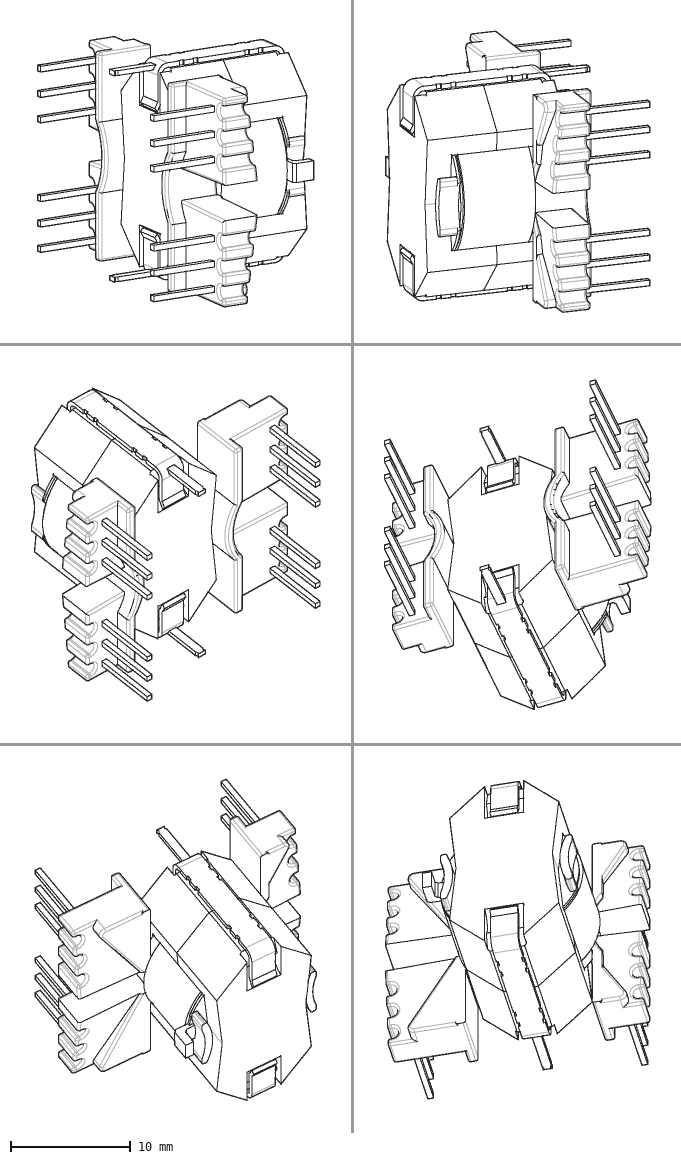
import cadquery as cq
import math


core_depth = 6.25
window_depth = 4.03
core_top = 8.98
core_top_half_width = 1.5
core_shoulder_half_width = 4.7
core_shoulder_z = 5.8
core_waist_half_width = 4.15
core_bore_radius = 6.17
post_radius = 3.15

recess_half_width = 1.67
recess_bottom_z = 5.2
recess_top_y = 5.1
groove_top = (5.64, 7.38)
groove_middle = (5.25, 6.2)

clip_half_width = 1.17
clip_thickness = 0.42
clip_top = core_top + clip_thickness
clip_leg_y = 6.19
clip_bend_radius = 0.95
clip_kink_z = 6.12
clip_hook = (6.47, 5.6)
clip_hook_end = (6.23, 5.28)
clip_hook_inner = (6.08, 5.57)
edge_notch_depth = 0.15
edge_notch_length = 0.45
edge_notch_places = (3.88, 2.55, -2.49, -3.83)
clip_pin_half_width = 0.4
clip_pin_z = 8.95
clip_pin_start = -5.73
clip_pin_end = -9.95
clip_pin_notch_length = 0.35
clip_pin_notch_depth = 0.1

winding_radius = 6.12
winding_front = -2.9
winding_back = 3.48
barrel_radius = 3.68
flange_radius = 6.12
back_flange_step_radius = 5.84
front_flange_front = -3.9
back_flange_back = 3.95
back_flange_step_y = 3.7

collar_thickness = 0.73
collar_outer_x = 5.65
collar_half_height = 2.53
collar_arc_half_height = 1.85
collar_back = 5.48

tab_half_width = 0.825
tab_root_x = 4.85
tab_outer_x = 7.22
tab_post_inner_x = 6.43
tab_back = 5.42
tab_chamfer = 0.22

wall_inner_x = 5.44
wall_outer_x = 6.3
wall_top = 9.05
wall_front = -7.86
wall_arc_half_height = 3.08
wall_arc_rise = 1.0
wall_thickness = wall_outer_x - wall_inner_x
wall_arc_radius = (wall_arc_half_height**2 + wall_arc_rise**2) / (2 * wall_arc_rise)
edge_round = 0.22

left_block_end = 9.62
right_block_end = 12.4
block_front = -6.5
block_inner_z_at_wall = 1.35
block_inner_z_at_end = 1.52
guide_round = 0.55
guide_angle = 30
ledge_low_z_y = -3.1
left_guide_corner_x = 8.76
left_ledge_high_z_y = -3.92
right_guide_corner_x = 10.81
right_ledge_high_z_y = -4.12
slot_radius = 0.55
slot_centre_inset = 0.37

pins_per_block = 3
pin_pitch = 2.2
first_pin_z = 3.41
pin_places = [first_pin_z + pin_pitch * i for i in range(pins_per_block)]
pin_width = 0.5
pin_end_y = -12.4
left_pin_x = 7.77
right_pin_x = 10.61


def plane_at(y_back):
    """X-Z sketch plane whose extrusions run toward -Y from y_back."""
    return cq.Workplane("XZ", origin=(0, y_back, 0))


def box(x, y, z):
    """Box between pairs of limits."""
    return cq.Workplane("XY").box(
        x[1] - x[0], y[1] - y[0], z[1] - z[0], centered=False
    ).translate((x[0], y[0], z[0]))


def cylinder(radius, y_front, y_back):
    return plane_at(y_back).circle(radius).extrude(y_back - y_front)


def both_ends(upper):
    """Join an upper feature with its mirror image below the winding axis."""
    return upper.union(upper.mirror("XY"))


def round_edge_near(body, point, radius):
    """Round the edge whose middle is nearest to the point."""
    return body.edges(cq.selectors.NearestToPointSelector(point)).fillet(radius)


def clip_recess():
    """Ramp and snap groove at the upper end of the +Y core half."""
    return (
        cq.Workplane("YZ", origin=(-recess_half_width, 0, 0))
        .moveTo(core_depth, recess_bottom_z)
        .threePointArc(groove_middle, groove_top)
        .lineTo(recess_top_y, core_top)
        .lineTo(core_depth, core_top)
        .close()
        .extrude(2 * recess_half_width)
    )


def core_half():
    """The +Y half: plate, two side legs and the centre post."""
    quarter = [
        (core_waist_half_width, 0),
        (core_shoulder_half_width, core_shoulder_z),
        (core_top_half_width, core_top),
    ]
    right = [(x, -z) for x, z in reversed(quarter[1:])] + quarter
    left = [(-x, -z) for x, z in right]
    body = plane_at(core_depth).polyline(right + left).close().extrude(core_depth)
    body = body.cut(cylinder(core_bore_radius, 0, window_depth))
    body = body.union(cylinder(post_radius, 0, core_depth))
    return body.cut(clip_recess()).cut(clip_recess().mirror("XY"))


def clip_strap():
    bend_y = clip_leg_y - clip_bend_radius
    bend_z = clip_top - clip_bend_radius
    inner_radius = clip_bend_radius - clip_thickness
    inner_y = clip_leg_y - clip_thickness
    diagonal = math.sqrt(0.5)
    outer_mid = (bend_y + clip_bend_radius * diagonal, bend_z + clip_bend_radius * diagonal)
    inner_mid = (bend_y + inner_radius * diagonal, bend_z + inner_radius * diagonal)
    half = (
        cq.Workplane("YZ", origin=(-clip_half_width, 0, 0))
        .moveTo(0, clip_top)
        .lineTo(bend_y, clip_top)
        .threePointArc(outer_mid, (clip_leg_y, bend_z))
        .lineTo(clip_leg_y, clip_kink_z)
        .lineTo(*clip_hook)
        .lineTo(*clip_hook_end)
        .lineTo(*clip_hook_inner)
        .lineTo(inner_y, clip_kink_z)
        .lineTo(inner_y, bend_z)
        .threePointArc(inner_mid, (bend_y, core_top))
        .lineTo(0, core_top)
        .close()
        .extrude(2 * clip_half_width)
    )
    return half.union(half.mirror("XZ"))


def clip_pin():
    """Grounding pin with a V notch on both sides near its tip."""
    notch_top = clip_pin_end + clip_pin_notch_length
    notch_middle = clip_pin_end + clip_pin_notch_length / 2
    side = [
        (clip_pin_half_width, clip_pin_start),
        (clip_pin_half_width, notch_top),
        (clip_pin_half_width - clip_pin_notch_depth, notch_middle),
        (clip_pin_half_width, clip_pin_end),
    ]
    other_side = [(-x, y) for x, y in reversed(side)]
    return (
        cq.Workplane("XY", origin=(0, 0, clip_pin_z - clip_thickness / 2))
        .polyline(side + other_side)
        .close()
        .extrude(clip_thickness)
    )


def clip():
    """The clip over the upper end of the core."""
    notches = (
        cq.Workplane("XY", origin=(0, 0, core_top))
        .pushPoints([(s * clip_half_width, y) for s in (-1, 1) for y in edge_notch_places])
        .rect(2 * edge_notch_depth, edge_notch_length)
        .extrude(clip_thickness)
    )
    return clip_strap().cut(notches).union(clip_pin())


def winding():
    return cylinder(winding_radius, winding_front, winding_back).cut(
        cylinder(barrel_radius, winding_front, winding_back)
    )


def guard_wall():
    """The +X wall: straight ends joined by an arc that bows toward the axis."""
    h = wall_arc_half_height
    wall = (
        plane_at(winding_front)
        .moveTo(wall_inner_x, wall_top)
        .lineTo(wall_inner_x, h)
        .threePointArc((wall_inner_x - wall_arc_rise, 0), (wall_inner_x, -h))
        .lineTo(wall_inner_x, -wall_top)
        .lineTo(wall_outer_x, -wall_top)
        .lineTo(wall_outer_x, -h)
        .threePointArc((wall_outer_x - wall_arc_rise, 0), (wall_outer_x, h))
        .lineTo(wall_outer_x, wall_top)
        .close()
        .extrude(winding_front - wall_front)
    )
    wall = wall.edges("|Y").edges(">Z or <Z").fillet(edge_round)
    outer_arc_edge = (wall_outer_x - wall_arc_rise, winding_front, 0)
    wall = round_edge_near(wall, outer_arc_edge, edge_round)
    return wall.faces("<Y").edges().fillet(edge_round)


def wire_ledge(end_x, guide_corner_x, ledge_high_z_y):
    """Space above the sloped ledge, bounded toward the axis by a slanted guide face."""
    guide_foot_x = guide_corner_x - wall_top * math.tan(math.radians(guide_angle))
    outline = (
        plane_at(winding_front)
        .polyline([
            (guide_corner_x, wall_top),
            (end_x, wall_top),
            (end_x, 0),
            (guide_foot_x, 0),
        ])
        .close()
        .extrude(winding_front - block_front)
    )
    slope = (
        cq.Workplane("YZ", origin=(guide_foot_x, 0, 0))
        .polyline([
            (winding_front, 0),
            (ledge_low_z_y, block_inner_z_at_wall),
            (ledge_high_z_y, wall_top),
            (winding_front, wall_top),
        ])
        .close()
        .extrude(end_x - guide_foot_x)
    )
    return outline.intersect(slope)


def block_blank(end_x):
    """Block outline with a slightly sloped inner end, reaching halfway into the guard wall."""
    start_x = wall_inner_x + wall_thickness / 2
    return (
        plane_at(winding_front)
        .polyline([
            (start_x, wall_top),
            (end_x, wall_top),
            (end_x, block_inner_z_at_end),
            (wall_inner_x, block_inner_z_at_wall),
            (wall_inner_x, wall_arc_half_height),
            (start_x, wall_arc_half_height),
        ])
        .close()
        .extrude(winding_front - block_front)
    )


def wire_slots(end_x):
    return (
        plane_at(winding_front)
        .pushPoints([(end_x, z) for z in pin_places])
        .slot2D(2 * (slot_centre_inset + slot_radius), 2 * slot_radius)
        .extrude(winding_front - block_front)
    )


def terminal_block(end_x, guide_corner_x, ledge_high_z_y):
    """One upper block on the +X side, with a sloped ledge and three wire slots at its end."""
    block = block_blank(end_x).cut(wire_ledge(end_x, guide_corner_x, ledge_high_z_y))

    guide_corner = (guide_corner_x, (ledge_high_z_y + winding_front) / 2, wall_top)
    ledge_top_edge = ((guide_corner_x + end_x) / 2, ledge_high_z_y, wall_top)
    ledge_end_edge = (
        end_x,
        (ledge_low_z_y + ledge_high_z_y) / 2,
        (block_inner_z_at_end + wall_top) / 2,
    )
    block = round_edge_near(block, guide_corner, guide_round)
    block = block.edges(">Y and >Z").fillet(edge_round)
    block = round_edge_near(block, ledge_top_edge, edge_round)
    block = round_edge_near(block, ledge_end_edge, edge_round)

    block = block.cut(wire_slots(end_x))
    lip_margin = slot_radius + edge_round
    lip_edges = cq.selectors.BoxSelector(
        (end_x - edge_round, block_front, pin_places[0] - lip_margin),
        (end_x + edge_round, winding_front, pin_places[-1] + lip_margin),
    )
    front_edges = cq.selectors.BoxSelector(
        (wall_outer_x, block_front - edge_round, 0),
        (end_x + edge_round, block_front + edge_round, wall_top + edge_round),
    )
    block = block.edges("|Y").edges(lip_edges).fillet(edge_round)
    return block.faces("<Y").edges(front_edges).fillet(edge_round)


def side_group(end_x, guide_corner_x, ledge_high_z_y, pin_x):
    """Wall, blocks and pins of one side, built on the +X side."""
    block = terminal_block(end_x, guide_corner_x, ledge_high_z_y)
    pins = (
        plane_at(block_front + edge_round)
        .pushPoints([(pin_x, z) for z in pin_places])
        .rect(pin_width, pin_width)
        .extrude(block_front + edge_round - pin_end_y)
    )
    return guard_wall().union(both_ends(block.union(pins)))


def wall_channel(y_front, y_back):
    """Round space that ends the front flange inside the thickness of the +X guard wall."""
    centre_x = wall_outer_x - wall_arc_rise + wall_arc_radius
    radius = wall_arc_radius + wall_thickness / 2
    return cylinder(radius, y_front, y_back).translate((centre_x, 0, 0))


def collar_cylinder(radius, y_front):
    """Cylinder around the axis that the collar's two curved faces share."""
    reach = math.sqrt(wall_arc_radius**2 - collar_arc_half_height**2)
    return cylinder(radius, y_front, collar_back).translate((collar_outer_x + reach, 0, 0))


def collar():
    """The +X collar on the back flange, curved like the guard wall."""
    body = box(
        (0, collar_outer_x),
        (back_flange_step_y, collar_back),
        (-collar_half_height, collar_half_height),
    )
    body = body.intersect(collar_cylinder(wall_arc_radius + collar_thickness, back_flange_step_y))
    return body.edges("|Y").fillet(edge_round)


def collar_channel():
    return collar_cylinder(wall_arc_radius, back_flange_step_y)


def marker_tab():
    """L-shaped tab at the +X edge of the back flange."""
    return (
        cq.Workplane("XY", origin=(0, 0, -tab_half_width))
        .polyline([
            (tab_root_x, winding_back),
            (tab_outer_x - tab_chamfer, winding_back),
            (tab_outer_x, winding_back + tab_chamfer),
            (tab_outer_x, tab_back),
            (tab_post_inner_x, tab_back),
            (tab_post_inner_x, back_flange_back + tab_chamfer),
            (tab_post_inner_x - tab_chamfer, back_flange_back),
            (tab_root_x, back_flange_back),
        ])
        .close()
        .extrude(2 * tab_half_width)
    )


def front_flange():
    """Flange that ends inside both guard walls."""
    channel = wall_channel(front_flange_front, winding_front)
    disc = cylinder(flange_radius, front_flange_front, winding_front)
    return disc.cut(channel).cut(channel.mirror("YZ"))


def back_flange():
    """Stepped flange with both collars, their lead channels and the marker tab."""
    flange = cylinder(back_flange_step_radius, winding_back, back_flange_back)
    flange = flange.union(cylinder(flange_radius, back_flange_step_y, back_flange_back))
    flange = flange.union(collar()).union(collar().mirror("YZ"))
    flange = flange.cut(collar_channel()).cut(collar_channel().mirror("YZ"))
    return flange.union(marker_tab())


def bobbin():
    """Spool with its flanges, guard walls, terminal blocks and pins as one solid."""
    right = side_group(right_block_end, right_guide_corner_x, right_ledge_high_z_y, right_pin_x)
    left = side_group(left_block_end, left_guide_corner_x, left_ledge_high_z_y, left_pin_x)
    spool = cylinder(barrel_radius, front_flange_front, back_flange_back)
    spool = spool.union(front_flange()).union(back_flange())
    spool = spool.cut(cylinder(post_radius, front_flange_front, back_flange_back))
    return spool.union(right).union(left.mirror("YZ"))


back_core = core_half()
front_core = back_core.mirror("XZ")
upper_clip = clip()
lower_clip = upper_clip.mirror("XY")

result = cq.Compound.makeCompound([
    bobbin().solids().val(),
    winding().solids().val(),
    back_core.solids().val(),
    front_core.solids().val(),
    upper_clip.solids().val(),
    lower_clip.solids().val(),
])